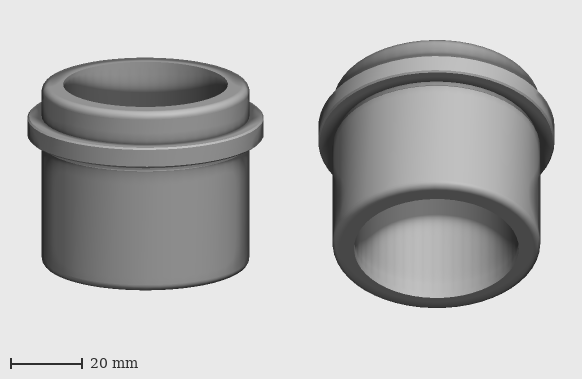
import cadquery as cq

flange_diameter = 66.0
body_diameter = 58.0
bore_diameter = 46.0
height = 52.0

flange_bottom = 37.0
flange_thickness = 5.8
flange_chamfer = 0.45

groove_diameter = 56.6
groove_floor_width = 1.3
groove_depth = (body_diameter - groove_diameter) / 2

rim_radius = 2.0


def cylinder(diameter, bottom, length):
    return cq.Workplane("XY").workplane(offset=bottom).circle(diameter / 2).extrude(length)


def make_lower_body():
    """Lower sleeve, rounded at the bottom and chamfered into the groove."""
    length = flange_bottom - groove_floor_width
    body = cylinder(body_diameter, 0, length)
    return body.faces("<Z").edges().fillet(rim_radius).faces(">Z").edges().chamfer(groove_depth)


def make_groove_floor():
    return cylinder(groove_diameter, flange_bottom - groove_floor_width, groove_floor_width)


def make_flange():
    flange = cylinder(flange_diameter, flange_bottom, flange_thickness)
    return flange.faces("<Z or >Z").edges().chamfer(flange_chamfer)


def make_upper_body():
    """Short collar above the flange, rounded at the top."""
    flange_top = flange_bottom + flange_thickness
    collar = cylinder(body_diameter, flange_top, height - flange_top)
    return collar.faces(">Z").edges().fillet(rim_radius)


solid_body = make_lower_body().union(make_groove_floor()).union(make_flange()).union(make_upper_body())
result = solid_body.cut(cylinder(bore_diameter, 0, height))